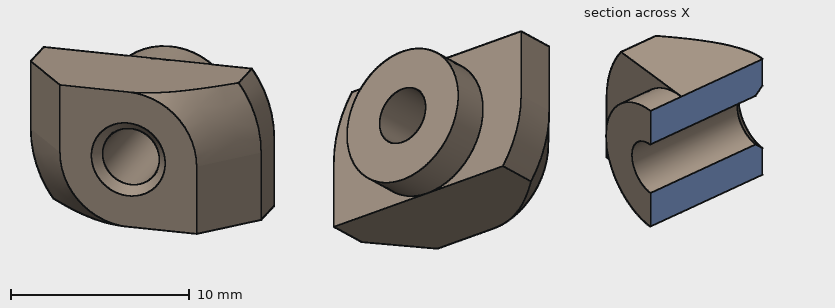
import cadquery as cq

length = 13.5
height = 8.0
straight_depth = 2.5
taper_depth = 3.31
boss_length = 2.2
bore_diameter = 3.32
countersink_diameter = 4.32

half_length = length / 2
half_height = height / 2
body_depth = straight_depth + taper_depth
total_depth = body_depth + boss_length
bore_radius = bore_diameter / 2
countersink_radius = countersink_diameter / 2
countersink_depth = countersink_radius - bore_radius


def half_profile():
    """Half of the tapered T-nut section, with its narrow face at Y = 0."""
    return (
        cq.Workplane("XY")
        .moveTo(0, 0)
        .lineTo(half_height, 0)
        .lineTo(half_length, taper_depth)
        .lineTo(half_length, body_depth)
        .lineTo(0, body_depth)
        .close()
    )


def round_core():
    """Cone and cylinder about the bore axis, trimmed flat at top and bottom."""
    turned = half_profile().revolve(360, (0, 0), (0, 1))
    slab = cq.Workplane("XY").box(length, body_depth, height).translate((0, body_depth / 2, 0))
    return turned.intersect(slab)


def square_corner():
    """Straight-sided lower corner at +X, which stops the nut from turning."""
    return half_profile().extrude(-half_height)


def boss():
    """Round boss behind the wide face, with a radius of half the body height."""
    return (
        cq.Workplane("XZ", origin=(0, body_depth, 0))
        .circle(half_height)
        .extrude(-boss_length)
    )


def countersunk_bore():
    """Through bore, countersunk on the narrow face."""
    return (
        cq.Workplane("XY")
        .moveTo(0, 0)
        .lineTo(countersink_radius, 0)
        .lineTo(bore_radius, countersink_depth)
        .lineTo(bore_radius, total_depth)
        .lineTo(0, total_depth)
        .close()
        .revolve(360, (0, 0), (0, 1))
    )


body = round_core()
for turn in (0, 180):
    body = body.union(square_corner().rotate((0, 0, 0), (0, 1, 0), turn))

result = body.union(boss()).cut(countersunk_bore())